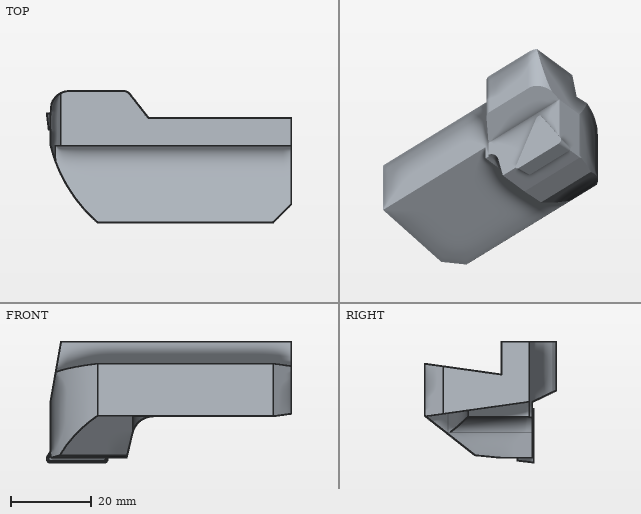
import cadquery as cq
import math

length = 61.0
depth = 32.8
height = 30.2

head_left_x = 0.9
arc_back_y = 19.45
arc_middle = (5.25, 8.85)
arc_front_x = 12.7
end_chamfer = 4.6
shank_back_y = 26.1
head_back_end_x = 20.1
shank_back_start_x = 25.35
head_corner_radius = 4.9
boss_corner_radius = 2.2

step_y = 19.1
top_slope = math.tan(math.radians(8))
step_z = 22.0
front_top_z = step_z + step_y * top_slope
front_bottom_z = 11.7
slope_end = (12.55, 1.8)
head_bottom_front_y = 18.85
head_bottom_z = 1.2
head_lower_back_y = 26.85
ledge_z = 15.1
overhang_z = 18.0
top_tilt = math.tan(math.radians(10))

lip_width = 0.2
slope_drop = (front_bottom_z - slope_end[1]) / slope_end[0]
lip_z = front_bottom_z - lip_width * slope_drop
head_right_top_x = 21.45
head_right_bottom_x = 19.95
web_radius = 5.1
web_start_z = 7.55
web_front_y = 5.75
bottom_chamfer = 0.35

insert_width = 15.25
insert_corner_radius = 1.0
insert_back_y = 27.2
insert_thickness = 4.1
insert_clearance = 7.0

margin = 6.1


def xz_plane(y):
    return cq.Workplane("XZ", origin=(0, y, 0))


def make_plan():
    plan = (
        cq.Workplane("XY")
        .moveTo(arc_front_x, 0)
        .lineTo(length - end_chamfer, 0)
        .lineTo(length, end_chamfer)
        .lineTo(length, shank_back_y)
        .lineTo(shank_back_start_x, shank_back_y)
        .lineTo(head_back_end_x, depth)
        .lineTo(head_left_x, depth)
        .lineTo(head_left_x, arc_back_y)
        .threePointArc(arc_middle, (arc_front_x, 0))
        .close()
        .extrude(height)
    )
    plan = plan.edges(cq.NearestToPointSelector((head_left_x, depth, height / 2))).fillet(head_corner_radius)
    return plan.edges(cq.NearestToPointSelector((head_back_end_x, depth, height / 2))).fillet(boss_corner_radius)


def make_cross_section():
    return (
        cq.Workplane("YZ")
        .polyline([
            (0, front_bottom_z),
            slope_end,
            (head_bottom_front_y, head_bottom_z),
            (head_lower_back_y, head_bottom_z),
            (head_lower_back_y, ledge_z),
            (depth, overhang_z),
            (depth, height),
            (step_y, height),
            (step_y, step_z),
            (0, front_top_z),
        ])
        .close()
        .extrude(length)
    )


def make_shank_relief():
    """Space under the shank: a rising underside beside the head's right-hand wall."""
    rise = (depth - lip_width) * top_slope
    under_shank = (
        cq.Workplane("YZ")
        .polyline([
            (-margin, -margin),
            (depth, -margin),
            (depth, lip_z + rise),
            (lip_width, lip_z),
            (-margin, lip_z),
        ])
        .close()
        .extrude(length + margin)
    )
    right_of_head = (
        xz_plane(depth)
        .polyline([
            (head_right_bottom_x, -margin),
            (head_right_bottom_x, head_bottom_z),
            (head_right_top_x, web_start_z),
            (head_right_top_x, height),
            (length + margin, height),
            (length + margin, -margin),
        ])
        .close()
        .extrude(depth + margin)
    )
    return under_shank.intersect(right_of_head).cut(make_web())


def make_web():
    """Web joining the head's right-hand wall to the shank, hollowed below and in front."""
    wall_lean = math.atan2(head_right_top_x - head_right_bottom_x, web_start_z - head_bottom_z)
    arc_x = head_right_top_x + web_radius * math.cos(wall_lean)
    arc_z = web_start_z - web_radius * math.sin(wall_lean)
    diagonal = web_radius * math.sqrt(0.5)
    web = (
        xz_plane(depth)
        .moveTo(head_right_top_x, web_start_z)
        .threePointArc((arc_x - diagonal, arc_z + diagonal), (arc_x, arc_z + web_radius))
        .lineTo(arc_x, height)
        .lineTo(head_right_top_x, height)
        .close()
        .extrude(depth - web_front_y)
    )
    front_hollow = (
        cq.Workplane("XY")
        .center(head_right_top_x + web_radius, web_front_y)
        .circle(web_radius)
        .extrude(height)
    )
    return web.cut(front_hollow)


def make_left_bevels():
    """Tilted upper left face and the small bevel at the head's bottom left edge."""
    upper = (
        xz_plane(depth)
        .polyline([
            (head_left_x, ledge_z),
            (head_left_x + (height - ledge_z) * top_tilt, height),
            (head_left_x - margin, height),
            (head_left_x - margin, ledge_z),
        ])
        .close()
        .extrude(depth)
    )
    lower = (
        xz_plane(depth)
        .polyline([
            (head_left_x, head_bottom_z + bottom_chamfer),
            (head_left_x + bottom_chamfer, head_bottom_z),
            (head_left_x, head_bottom_z),
        ])
        .close()
        .extrude(depth)
    )
    return upper.union(lower)


def make_insert():
    core_side = insert_width - 2 * insert_corner_radius
    left_x = insert_corner_radius
    base_z = insert_corner_radius
    return (
        xz_plane(insert_back_y)
        .polyline([
            (left_x, base_z),
            (left_x + core_side, base_z),
            (left_x + core_side / 2, base_z + core_side * math.sqrt(0.75)),
        ])
        .close()
        .offset2D(insert_corner_radius, "arc")
        .extrude(insert_thickness, taper=insert_clearance)
    )


insert = make_insert()

holder = make_plan().intersect(make_cross_section())
holder = holder.cut(make_left_bevels()).cut(make_shank_relief())
holder = holder.cut(insert).solids()

result = cq.Compound.makeCompound([holder.val(), insert.val()])